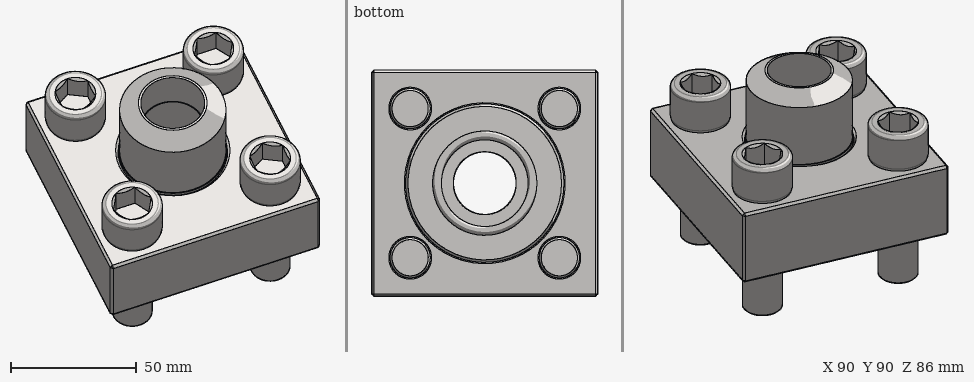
import cadquery as cq
import math


PLATE_SIDE = 90.0
PLATE_HEIGHT = 32.0
PLATE_CHAMFER = 1.0
BUSH_HOLE_DIAMETER = 43.5
COLLAR_RECESS_DIAMETER = 64.0

BUSH_DIAMETER = 42.3
BUSH_RISE = 31.05
BUSH_SEAT_DIAMETER = 43.0
BUSH_BORE_DIAMETER = 24.8
MOUTH_BORE_DIAMETER = 25.4
MOUTH_BORE_DEPTH = 15.6
BUSH_TIP_DIAMETER = 27.3
BUSH_CONE_HEIGHT = 4.6
COLLAR_DIAMETER = 63.0
COLLAR_HEIGHT = 14.0
COLLAR_DROP = 2.3
COLLAR_CHAMFER = 1.0

RING_INNER_DIAMETER = 34.5
RING_SECTION_DIAMETER = 3.5
RING_PROTRUSION = 0.7

SCREW_COUNT = 4
SCREW_SPACING = 59.3
SCREW_DIAMETER = 16.0
SCREW_HOLE_DIAMETER = 17.0
SCREW_LENGTH = 55.0
SCREW_TIP_CHAMFER = 0.8
HEAD_DIAMETER = 24.0
HEAD_HEIGHT = SCREW_DIAMETER
HEAD_TOP_FILLET = 1.6
HEAD_BASE_CHAMFER_WIDTH = 0.4
HEAD_BASE_CHAMFER_HEIGHT = 1.2
SOCKET_ACROSS_FLATS = 14.0
SOCKET_DEPTH = 10.4

bush_top = PLATE_HEIGHT + BUSH_RISE
collar_recess_depth = COLLAR_HEIGHT - COLLAR_DROP
ring_mean_diameter = RING_INNER_DIAMETER + RING_SECTION_DIAMETER
ring_outer_diameter = RING_INNER_DIAMETER + 2 * RING_SECTION_DIAMETER
groove_depth = RING_SECTION_DIAMETER - RING_PROTRUSION
socket_across_corners = SOCKET_ACROSS_FLATS / math.cos(math.pi / 6)


def cylinder(diameter, bottom, height):
    """Upright cylinder on the Z axis."""
    return cq.Workplane("XY").workplane(offset=bottom).circle(diameter / 2).extrude(height)


def make_plate():
    """Square plate with a stepped centre hole for the bush and four screw holes."""
    block = cq.Workplane("XY").box(PLATE_SIDE, PLATE_SIDE, PLATE_HEIGHT, centered=(True, True, False))
    block = block.edges().chamfer(PLATE_CHAMFER)
    block = block.cut(cylinder(BUSH_HOLE_DIAMETER, 0, PLATE_HEIGHT))
    block = block.faces(">Z").edges("%CIRCLE").chamfer(PLATE_CHAMFER)
    block = block.cut(cylinder(COLLAR_RECESS_DIAMETER, 0, collar_recess_depth))
    screw_holes = (
        cq.Workplane("XY")
        .rect(SCREW_SPACING, SCREW_SPACING, forConstruction=True)
        .vertices()
        .circle(SCREW_HOLE_DIAMETER / 2)
        .extrude(PLATE_HEIGHT)
    )
    return block.cut(screw_holes)


def make_bush():
    """Collared, stepped tube with a conical tip and an O-ring groove in its lower face."""
    collar = cylinder(COLLAR_DIAMETER, -COLLAR_DROP, COLLAR_HEIGHT)
    collar = collar.faces("<Z").edges().chamfer(COLLAR_CHAMFER)
    tube = cylinder(BUSH_DIAMETER, -COLLAR_DROP, bush_top + COLLAR_DROP)
    tip_width = (BUSH_DIAMETER - BUSH_TIP_DIAMETER) / 2
    tube = tube.cut(make_edge_cut(BUSH_DIAMETER / 2, bush_top, tip_width, BUSH_CONE_HEIGHT))
    seat = cylinder(BUSH_SEAT_DIAMETER, -COLLAR_DROP, PLATE_HEIGHT + COLLAR_DROP)
    bore = cylinder(BUSH_BORE_DIAMETER, -COLLAR_DROP, bush_top + COLLAR_DROP)
    mouth_bore = cylinder(MOUTH_BORE_DIAMETER, bush_top - MOUTH_BORE_DEPTH, MOUTH_BORE_DEPTH)
    groove = cylinder(ring_outer_diameter, -COLLAR_DROP, groove_depth)
    groove = groove.cut(cylinder(RING_INNER_DIAMETER, -COLLAR_DROP, groove_depth))
    return collar.union(seat).union(tube).cut(bore).cut(mouth_bore).cut(groove)


def make_edge_cut(radius, edge_height, width, drop):
    """Triangular ring that bevels the outer edge of a cylinder; a negative drop bevels a lower edge."""
    return (
        cq.Workplane("XZ")
        .moveTo(radius, edge_height)
        .lineTo(radius - width, edge_height)
        .lineTo(radius, edge_height - drop)
        .close()
        .revolve(360, (0, 0, 0), (0, 1, 0))
    )


def make_ring():
    """Round-section ring resting on the floor of its groove."""
    section_radius = RING_SECTION_DIAMETER / 2
    ring_height = groove_depth - COLLAR_DROP - section_radius
    return (
        cq.Workplane("XZ")
        .center(ring_mean_diameter / 2, ring_height)
        .circle(section_radius)
        .revolve(360, (-ring_mean_diameter / 2, 0, 0), (-ring_mean_diameter / 2, 1, 0))
    )


def make_socket():
    """Hexagonal socket whose mouth is opened to a circle by a 45 degree countersink."""
    head_top = PLATE_HEIGHT + HEAD_HEIGHT
    hexagon = (
        cq.Workplane("XY")
        .workplane(offset=head_top - SOCKET_DEPTH)
        .polygon(6, socket_across_corners)
        .extrude(SOCKET_DEPTH)
    )
    mouth_radius = socket_across_corners / 2
    countersink = cq.Workplane(
        cq.Solid.makeCone(mouth_radius, 0, mouth_radius, cq.Vector(0, 0, head_top), cq.Vector(0, 0, -1))
    )
    return hexagon.union(countersink)


def make_screw():
    """Screw on the Z axis with its head resting on the plate."""
    head = cylinder(HEAD_DIAMETER, PLATE_HEIGHT, HEAD_HEIGHT)
    head = head.faces(">Z").edges().fillet(HEAD_TOP_FILLET)
    head = head.cut(
        make_edge_cut(HEAD_DIAMETER / 2, PLATE_HEIGHT, HEAD_BASE_CHAMFER_WIDTH, -HEAD_BASE_CHAMFER_HEIGHT)
    )
    shank = cylinder(SCREW_DIAMETER, PLATE_HEIGHT - SCREW_LENGTH, SCREW_LENGTH)
    shank = shank.faces("<Z").edges().chamfer(SCREW_TIP_CHAMFER)
    return head.union(shank).cut(make_socket())


plate = make_plate()
bush = make_bush()
ring = make_ring()

corner_screw = make_screw().translate((SCREW_SPACING / 2, SCREW_SPACING / 2, 0))
screws = []
for index in range(SCREW_COUNT):
    angle = index * 360 / SCREW_COUNT
    screws.append(corner_screw.rotate((0, 0, 0), (0, 0, 1), angle).val())

result = cq.Compound.makeCompound([plate.val(), bush.val(), ring.val(), *screws])